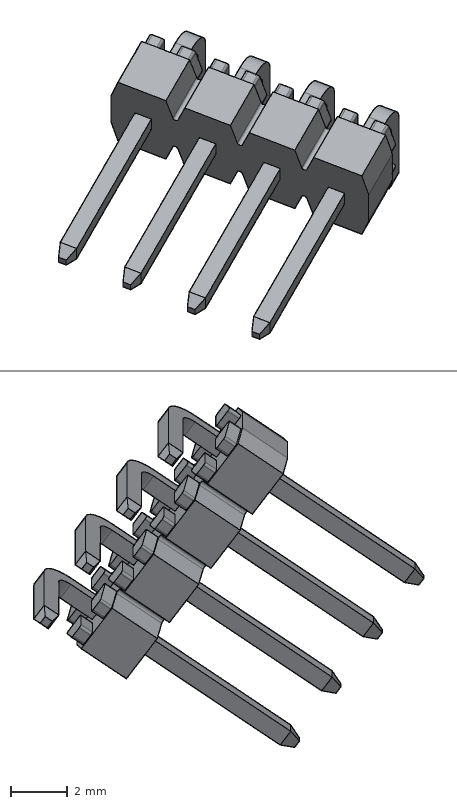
import cadquery as cq


row_length = 10.17
total_depth = 11.32
total_height = 6.5

pin_count = 4
pitch = row_length / pin_count
housing_height = 3.6
housing_depth = 1.98
end_bevel_width = 0.27
end_bevel_height = 1.0
notch_half_width = 0.37
notch_apex_depth = 1.25
notch_root_radius = 0.1

pad_thickness = 0.5
pad_inset = 0.11
pad_height = 1.12
pad_top_half_width = 0.88
pad_base_half_width = 1.2
pad_corner_radius = 0.1

pin_size = 0.65
pin_front_length = 6.77
bend_inner_radius = 0.52
tip_length = 0.51
tip_size = 0.3

half_length = row_length / 2
half_height = housing_height / 2
pin_front_y = -pin_front_length
leg_y = total_depth - pin_front_length - pin_size / 2
leg_bottom_z = half_height - total_height
bend_radius = bend_inner_radius + pin_size / 2
pin_centers = [(i - (pin_count - 1) / 2) * pitch for i in range(pin_count)]
notch_centers = [i * pitch - half_length for i in range(1, pin_count)]


def extrude_back(outline, start_y, length):
    """Extrude an XZ outline toward +Y, starting at start_y."""
    plane = cq.Workplane("XZ", origin=(0, start_y, 0))
    return plane.polyline(outline).close().extrude(-length)


def mirror_down(solid):
    """Mirror a solid through the plane of the pin axes."""
    return solid.mirror("XY")


def make_notch(center_x):
    """V groove with a rounded root, open at the top of the housing."""
    outline = [
        (center_x - notch_half_width, half_height),
        (center_x + notch_half_width, half_height),
        (center_x, half_height - notch_apex_depth),
    ]
    groove = extrude_back(outline, 0, housing_depth)
    return groove.edges("|Y").edges("<Z").fillet(notch_root_radius)


def make_housing():
    """Bar with beveled ends and V grooves between the pin positions."""
    bevel_x = half_length - end_bevel_width
    bevel_z = half_height - end_bevel_height
    outline = [
        (-bevel_x, half_height),
        (bevel_x, half_height),
        (half_length, bevel_z),
        (half_length, -bevel_z),
        (bevel_x, -half_height),
        (-bevel_x, -half_height),
        (-half_length, -bevel_z),
        (-half_length, bevel_z),
    ]
    housing = extrude_back(outline, 0, housing_depth)
    for center_x in notch_centers:
        notch = make_notch(center_x)
        housing = housing.cut(notch).cut(mirror_down(notch))
    return housing


def make_pad(center_x, side):
    """Upper pad beside a pin; side is -1 for left and +1 for right."""
    top_z = half_height - pad_inset
    base_z = top_z - pad_height
    inner_x = center_x + side * pin_size / 2
    outline = [
        (inner_x, top_z),
        (center_x + side * pad_top_half_width, top_z),
        (center_x + side * pad_base_half_width, base_z),
        (inner_x, base_z),
    ]
    pad = extrude_back(outline, housing_depth, pad_thickness)
    return pad.edges("|Y").fillet(pad_corner_radius)


def make_pin(center_x):
    """Square wire with one bend and a tapered point at each end."""
    straight_end_y = pin_front_y + tip_length
    straight_end_z = leg_bottom_z + tip_length
    path = (
        cq.Workplane("YZ", origin=(center_x, 0, 0))
        .moveTo(straight_end_y, 0)
        .lineTo(leg_y - bend_radius, 0)
        .radiusArc((leg_y, -bend_radius), bend_radius)
        .lineTo(leg_y, straight_end_z)
    )
    wire = (
        cq.Workplane("XZ", origin=(center_x, straight_end_y, 0))
        .rect(pin_size, pin_size)
        .sweep(path)
    )
    front_tip = (
        cq.Workplane("XZ", origin=(center_x, straight_end_y, 0))
        .rect(pin_size, pin_size)
        .workplane(offset=tip_length)
        .rect(tip_size, tip_size)
        .loft()
    )
    leg_tip = (
        cq.Workplane("XY", origin=(center_x, leg_y, straight_end_z))
        .rect(pin_size, pin_size)
        .workplane(offset=-tip_length)
        .rect(tip_size, tip_size)
        .loft()
    )
    return wire.union(front_tip).union(leg_tip)


result = make_housing()
for pin_x in pin_centers:
    for pad_side in (-1, 1):
        upper_pad = make_pad(pin_x, pad_side)
        result = result.union(upper_pad).union(mirror_down(upper_pad))
    result = result.union(make_pin(pin_x))